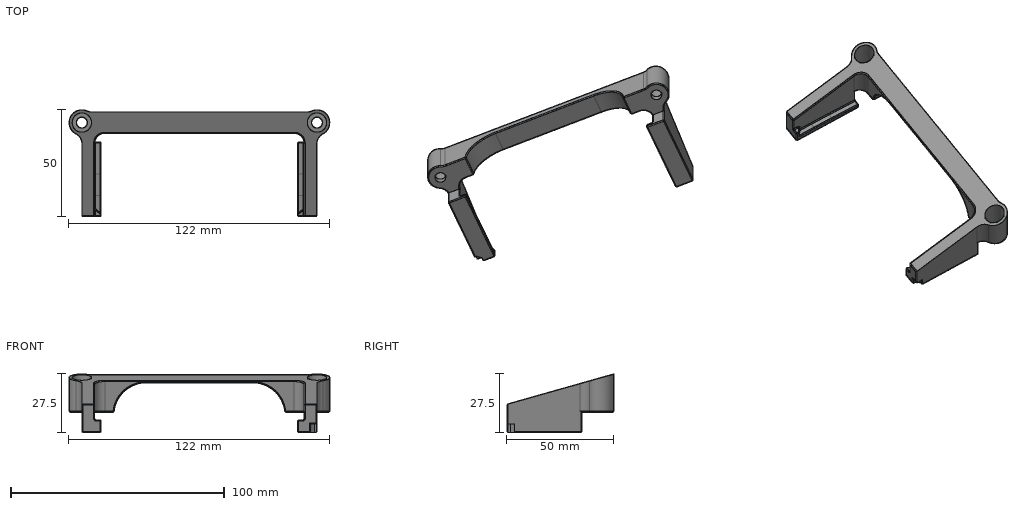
import cadquery as cq
import math

overall_length = 122
overall_height = 27.5
boss_radius = 6.0
boss_x = overall_length / 2 - boss_radius
boss_underside = 9.5
leg_front_height = 13.3
overall_depth = 50
leg_front_y = boss_radius - overall_depth
edge_break = 0.5

hole_diameter = 5.0
counterbore_diameter = 9.0
counterbore_floor = 12.6

bar_half_width = 5.0
leg_width = 6.0
leg_back_y = -9.0
outer_blend_radius = 5.0
inner_blend_radius = 4.8
leg_inner_x = boss_x - leg_width

arch_half_width = 40.0
arch_top = 23.3
arch_radius = 15.0
arch_flat_half = 25.0

ledge_reach = 3.0
ledge_front_height = 3.0
ledge_dip = 0.6
ledge_bend_front_y = -34.0
ledge_bend_back_y = -24.0
ledge_edge_x = leg_inner_x - ledge_reach
stop_height = 6.0
stop_length_at_leg = 4.0
stop_length_at_edge = 1.5

relief_width = 3.0
relief_height = 4.0
relief_depth = 3.5
relief_wall_length = 1.7
relief_floor_width = 1.1
relief_radius = 4.4

tiny = 0.01


def mirrored_pair(right_side):
    return right_side.union(right_side.mirror("YZ"))


def cut_slope(body):
    """Plane top sloping from the back of the bosses down to the leg fronts."""
    fall = (overall_height - leg_front_height) / overall_depth
    overshoot = 12.2
    waste = (
        cq.Workplane("YZ", origin=(-overall_length, 0, 0))
        .moveTo(boss_radius + overshoot, overall_height + fall * overshoot)
        .lineTo(leg_front_y - overshoot, leg_front_height - fall * overshoot)
        .lineTo(leg_front_y - overshoot, 2 * overall_height)
        .lineTo(boss_radius + overshoot, 2 * overall_height)
        .close()
        .extrude(2 * overall_length)
    )
    return body.cut(waste)


def make_frame():
    """Bar, bosses and leg roots as one plan outline, arched below and sloped on top."""
    root_end_y = (leg_back_y + leg_front_y) / 2
    depth = overall_height - boss_underside
    blend_reach = boss_radius + outer_blend_radius

    rear_centre_y = bar_half_width + outer_blend_radius
    rear_centre_dx = math.sqrt(blend_reach**2 - rear_centre_y**2)
    side_centre_dy = math.sqrt(blend_reach**2 - outer_blend_radius**2)

    def on_boss(dx, dy):
        scale = boss_radius / math.hypot(dx, dy)
        return boss_x + dx * scale, dy * scale

    def on_blend(centre_dx, centre_dy, start_angle, end_angle):
        middle = math.radians((start_angle + end_angle) / 2)
        return (
            boss_x + centre_dx + outer_blend_radius * math.cos(middle),
            centre_dy + outer_blend_radius * math.sin(middle),
        )

    rear_angle = math.degrees(math.atan2(-rear_centre_y, rear_centre_dx))
    side_angle = math.degrees(math.atan2(side_centre_dy, -outer_blend_radius))
    half = (
        cq.Workplane("XY", origin=(0, 0, boss_underside))
        .moveTo(0, bar_half_width)
        .lineTo(boss_x - rear_centre_dx, bar_half_width)
        .threePointArc(
            on_blend(-rear_centre_dx, rear_centre_y, -90, rear_angle),
            on_boss(-rear_centre_dx, rear_centre_y),
        )
        .threePointArc(
            (boss_x + boss_radius, 0),
            on_boss(outer_blend_radius, -side_centre_dy),
        )
        .threePointArc(
            on_blend(outer_blend_radius, -side_centre_dy, side_angle, 180),
            (boss_x, -side_centre_dy),
        )
        .lineTo(boss_x, root_end_y)
        .lineTo(leg_inner_x, root_end_y)
        .lineTo(leg_inner_x, -bar_half_width - inner_blend_radius)
        .radiusArc((leg_inner_x - inner_blend_radius, -bar_half_width), -inner_blend_radius)
        .lineTo(0, -bar_half_width)
        .close()
        .extrude(depth)
    )
    frame = mirrored_pair(half).clean()
    arch_bottom = arch_top - arch_radius
    arch = (
        cq.Workplane("XZ", origin=(0, 2 * bar_half_width, 0))
        .moveTo(-arch_half_width, arch_bottom)
        .radiusArc((-arch_flat_half, arch_top), arch_radius)
        .lineTo(arch_flat_half, arch_top)
        .radiusArc((arch_half_width, arch_bottom), arch_radius)
        .close()
        .extrude(4 * bar_half_width)
    )
    arched = cut_slope(frame.cut(arch))
    underside_edges = arched.faces("<Z").edges()
    arch_rims = arched.edges(
        cq.selectors.BoxSelector(
            (-arch_half_width, -leg_width, boss_underside + tiny),
            (arch_half_width, leg_width, arch_top + tiny),
        )
    ).edges("not |Y")
    inner_rim = arched.edges(
        cq.selectors.BoxSelector(
            (-leg_inner_x - tiny, root_end_y + tiny, leg_front_height),
            (leg_inner_x + tiny, -bar_half_width + tiny, overall_height),
        )
    ).edges("not |Z")
    broken = underside_edges.add(arch_rims).add(inner_rim)
    return arched.newObject(broken.vals()).chamfer(edge_break)


def make_rail():
    """Side profile of the ledge: level in front, then bending into a gentle dip behind."""
    half_bend = (ledge_bend_back_y - ledge_bend_front_y) / 2
    back_run = leg_back_y - ledge_bend_back_y
    dip_at_bend = ledge_dip * half_bend / (half_bend + back_run)
    return (
        cq.Workplane("YZ", origin=(ledge_edge_x, 0, 0))
        .moveTo(leg_back_y, 0)
        .lineTo(leg_front_y, 0)
        .lineTo(leg_front_y, ledge_front_height)
        .lineTo(ledge_bend_front_y, ledge_front_height)
        .tangentArcPoint((ledge_bend_back_y, ledge_front_height - dip_at_bend), relative=False)
        .lineTo(leg_back_y, ledge_front_height - ledge_dip)
        .close()
        .extrude(ledge_reach + leg_width / 2)
    )


def make_stop():
    """End stop on the front of the ledge, with a slanting back wall."""
    return (
        cq.Workplane("XY")
        .moveTo(ledge_edge_x, leg_front_y)
        .lineTo(ledge_edge_x, leg_front_y + stop_length_at_edge)
        .lineTo(leg_inner_x, leg_front_y + stop_length_at_leg)
        .lineTo(leg_inner_x, leg_front_y)
        .close()
        .extrude(stop_height)
        .edges(">Z and (not #Y) and (not #X)")
        .chamfer(edge_break)
    )


def make_leg():
    """+X leg with its ledge and stop, sloped on top and with its edges broken."""
    block = cq.Workplane("XY", origin=(leg_inner_x, leg_front_y, 0)).box(
        leg_width, leg_back_y - leg_front_y, overall_height, centered=False
    )
    leg = cut_slope(block.union(make_rail()).union(make_stop()).clean())

    ledge_corner = cq.selectors.BoxSelector(
        (leg_inner_x - tiny, leg_front_y + tiny, tiny),
        (leg_inner_x + tiny, leg_back_y - tiny, ledge_front_height + tiny),
    )
    stop_corner = cq.selectors.BoxSelector(
        (leg_inner_x - tiny, leg_front_y, stop_height - tiny),
        (leg_inner_x + tiny, leg_back_y, stop_height + tiny),
    )
    leg = leg.edges(ledge_corner + stop_corner).chamfer(edge_break)

    free_edge = cq.selectors.BoxSelector(
        (ledge_edge_x - tiny, leg_front_y, tiny),
        (ledge_edge_x + tiny, leg_back_y, stop_height + tiny),
    )
    top_inner_edge = cq.selectors.BoxSelector(
        (leg_inner_x - tiny, leg_front_y + tiny, leg_front_height),
        (leg_inner_x + tiny, leg_back_y - tiny, overall_height),
    )
    ends = leg.faces("<Y or <Z").edges()
    back = leg.faces(">Y").edges("not >Z")
    free_edges = leg.edges(free_edge).edges("not |Z")
    broken = ends.add(back).add(free_edges).add(leg.edges(top_inner_edge))
    return leg.newObject(broken.vals()).chamfer(edge_break)


def drill_bosses(body):
    centres = [(-boss_x, 0), (boss_x, 0)]
    holes = cq.Workplane("XY").pushPoints(centres).circle(hole_diameter / 2).extrude(overall_height)
    counterbores = (
        cq.Workplane("XY", origin=(0, 0, counterbore_floor))
        .pushPoints(centres)
        .circle(counterbore_diameter / 2)
        .extrude(overall_height)
    )
    return body.cut(holes).cut(counterbores)


def cut_relief(body):
    """Relief in the outer front foot of the +X leg: a hollow arc running out to a flat floor."""
    mouth_x = boss_x - relief_width
    floor_x = boss_x - relief_floor_width
    floor_y = leg_front_y + relief_depth
    relief = (
        cq.Workplane("XY")
        .moveTo(mouth_x, leg_front_y)
        .lineTo(mouth_x, leg_front_y + relief_wall_length)
        .radiusArc((floor_x, floor_y), relief_radius)
        .lineTo(boss_x, floor_y)
        .lineTo(boss_x, leg_front_y)
        .close()
        .extrude(relief_height)
    )
    relieved = body.cut(relief)
    mouth = cq.selectors.BoxSelector(
        (mouth_x - tiny, leg_front_y - tiny, edge_break),
        (boss_x - edge_break, leg_front_y + tiny, relief_height + tiny),
    )
    return relieved.edges(mouth).chamfer(edge_break)


body = make_frame().union(mirrored_pair(make_leg())).clean()
result = cut_relief(drill_bosses(body))